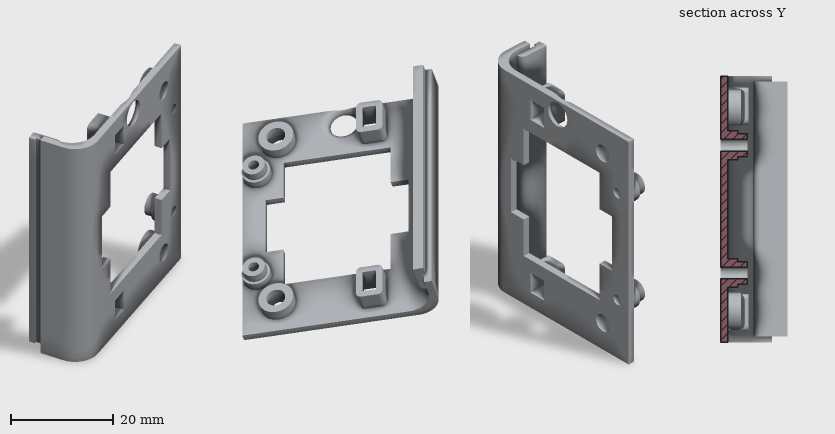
import cadquery as cq
import math

height = 52.0
depth = 40.1
thickness = 1.5
bend_radius = 5.0
flange_reach = 10.05

lip_reach = 13.1
lip_thickness = 1.5
lip_inner_reach = 6.5
lip_round_radius = 1.25
lip_end_inset = 1.1
hook_width = 1.35
hook_drop = 0.5

window_center_y = 21.05
window_width = 21.55
window_height = 29.75
wide_window_width = 28.75
wide_window_height = 12.7

boss_y = 32.75
boss_z = 19.8
boss_diameter = 7.0
boss_bore = 3.8
boss_height = 2.5

step_boss_y = 36.9
step_boss_z = 12.5
step_base_diameter = 5.7
step_base_height = 1.9
step_top_diameter = 4.5
step_total_height = 3.8
step_bore = 2.2

socket_y = 13.6
socket_z = 20.2
socket_width = 5.3
socket_height = 7.25
socket_corner_radius = 1.0
socket_projection = 4.0
socket_hole_width = 2.75
socket_hole_height = 4.65
socket_hole_flare = 1.05

flared_hole_y = 19.95
flared_hole_z = 22.8
flared_hole_diameter = 5.45

inner_face = -thickness
plate_plane = cq.Workplane("YZ")


def bar(section, length):
    """Extrude an XY outline along Z, centred on Z = 0."""
    return section.extrude(length / 2, both=True)


def bent_plate():
    diagonal = math.sqrt(0.5)
    outer_center = bend_radius
    inner_center = thickness + bend_radius
    outer_mid = outer_center - bend_radius * diagonal
    inner_mid = inner_center - bend_radius * diagonal
    section = (
        cq.Workplane("XY")
        .moveTo(0, depth)
        .lineTo(0, outer_center)
        .threePointArc((-outer_mid, outer_mid), (-outer_center, 0))
        .lineTo(-flange_reach, 0)
        .lineTo(-flange_reach, thickness)
        .lineTo(-inner_center, thickness)
        .threePointArc((-inner_mid, inner_mid), (inner_face, inner_center))
        .lineTo(inner_face, depth)
        .close()
    )
    return bar(section, height)


def lip():
    top = thickness + lip_thickness
    round_center = -lip_inner_reach - lip_round_radius
    round_base = top - lip_round_radius
    round_offset = lip_round_radius * math.sqrt(0.5)
    hook_inner = -lip_reach + hook_width
    section = (
        cq.Workplane("XY")
        .moveTo(-lip_reach, top)
        .lineTo(round_center, top)
        .threePointArc(
            (round_center + round_offset, round_base + round_offset),
            (-lip_inner_reach, round_base),
        )
        .lineTo(-lip_inner_reach, thickness)
        .lineTo(hook_inner, thickness)
        .lineTo(hook_inner, thickness - hook_drop)
        .lineTo(-lip_reach, thickness - hook_drop)
        .close()
    )
    return bar(section, height - 2 * lip_end_inset)


def window():
    center = plate_plane.center(window_center_y, 0)
    tall = center.rect(window_width, window_height).extrude(-thickness)
    wide = center.rect(wide_window_width, wide_window_height).extrude(-thickness)
    return tall.union(wide)


def flared_hole():
    """Cutter whose radius grows along a quarter round through the plate thickness."""
    radius = flared_hole_diameter / 2
    mouth_radius = radius + thickness
    round_offset = thickness * math.sqrt(0.5)
    return (
        cq.Workplane("XY")
        .lineTo(0, radius)
        .threePointArc(
            (-round_offset, mouth_radius - round_offset),
            (inner_face, mouth_radius),
        )
        .lineTo(inner_face, 0)
        .close()
        .revolve(360, (0, 0), (1, 0))
        .translate((0, flared_hole_y, flared_hole_z))
    )


def cylinder(y, z, diameter, projection):
    """Cylinder from the outer face to the given projection beyond the inner face."""
    return plate_plane.center(y, z).circle(diameter / 2).extrude(-thickness - projection)


def socket_block(z):
    """Round-cornered block from the outer face to the mouth of a socket."""
    return (
        plate_plane.center(socket_y, z)
        .rect(socket_width, socket_height)
        .extrude(-thickness - socket_projection)
        .edges("|X")
        .fillet(socket_corner_radius)
    )


def socket_hole(z):
    """Rectangular hole whose +Y wall slopes outward from the mouth to the outer face."""
    mouth_x = inner_face - socket_projection
    near_y = socket_y - socket_hole_width / 2
    far_y = socket_y + socket_hole_width / 2
    section = (
        cq.Workplane("XY")
        .moveTo(mouth_x, near_y)
        .lineTo(0, near_y)
        .lineTo(0, far_y + socket_hole_flare)
        .lineTo(mouth_x, far_y)
        .close()
    )
    return bar(section, socket_hole_height).translate((0, 0, z))


def add_boss(body, z):
    body = body.union(cylinder(boss_y, z, boss_diameter, boss_height))
    return body.cut(cylinder(boss_y, z, boss_bore, boss_height))


def add_step_boss(body, z):
    body = body.union(cylinder(step_boss_y, z, step_base_diameter, step_base_height))
    body = body.union(cylinder(step_boss_y, z, step_top_diameter, step_total_height))
    return body.cut(cylinder(step_boss_y, z, step_bore, step_total_height))


def add_socket(body, z):
    return body.union(socket_block(z)).cut(socket_hole(z))


result = bent_plate().union(lip()).cut(window()).cut(flared_hole())
for side in (1, -1):
    result = add_boss(result, side * boss_z)
    result = add_step_boss(result, side * step_boss_z)
    result = add_socket(result, side * socket_z)